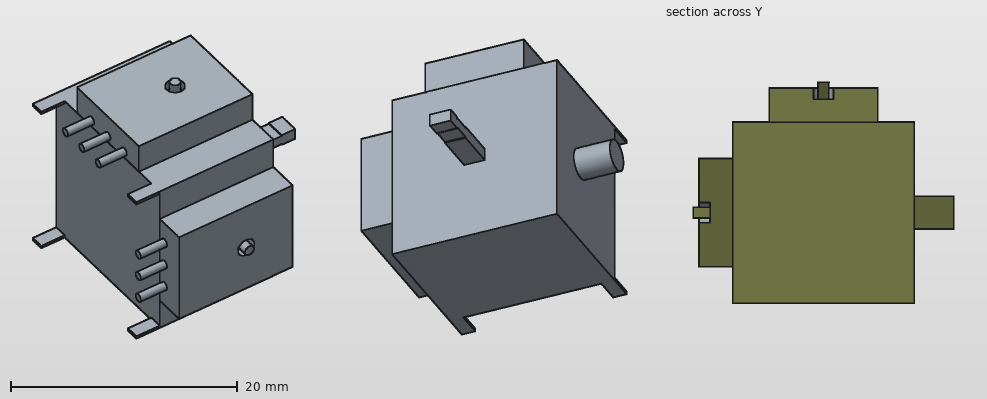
import cadquery as cq

BOX_SIDE = 16.0
BOX_DEPTH = 12.2
AXIS_Y = -5.0

TAB_WIDTH = 1.3
TAB_THICKNESS = 0.28
TAB_LENGTH = 2.5

SHAFT_DIAMETER = 2.9
SHAFT_LENGTH = 3.5

LEVER_WIDTH = 2.0
LEVER_THICKNESS = 1.15
LEVER_LENGTH = 7.2
RELIEF_THICKNESS = 0.97
RELIEF_LENGTH = 1.7
RELIEF_TIP = 1.45

BLOCK_LENGTH = 9.57
BLOCK_HEIGHT = 3.0
RECESS_DIAMETER = 1.75
RECESS_DEPTH = 1.0
ROTOR_DIAMETER = 1.0
ROTOR_RISE = 0.5

PIN_DIAMETER = 0.8
PIN_LENGTH = 2.8
PIN_PITCH = 2.53
PIN_HEIGHT = 0.74

HALF_SIDE = BOX_SIDE / 2
BLOCK_TOP = HALF_SIDE + BLOCK_HEIGHT


def box(x_min, x_max, y_min, y_max, z_min, z_max):
    """Axis-aligned box between the given limits."""
    size = (x_max - x_min, y_max - y_min, z_max - z_min)
    return cq.Workplane("XY").box(*size, centered=False).translate((x_min, y_min, z_min))


def make_housing():
    housing = box(-HALF_SIDE, HALF_SIDE, -BOX_DEPTH, 0, -HALF_SIDE, HALF_SIDE)
    tab_end = -BOX_DEPTH - TAB_LENGTH
    for x in (-HALF_SIDE, HALF_SIDE - TAB_WIDTH):
        for z in (-HALF_SIDE, HALF_SIDE - TAB_THICKNESS):
            housing = housing.union(box(x, x + TAB_WIDTH, tab_end, -BOX_DEPTH, z, z + TAB_THICKNESS))
    return housing


def make_shaft():
    start = cq.Workplane("YZ", origin=(-HALF_SIDE, AXIS_Y, 0))
    return start.circle(SHAFT_DIAMETER / 2).extrude(-SHAFT_LENGTH)


def make_lever():
    half_width = LEVER_WIDTH / 2
    half_thickness = LEVER_THICKNESS / 2
    lever = box(-half_width, half_width, 0, LEVER_LENGTH, -half_thickness, half_thickness)
    relief_end = LEVER_LENGTH - RELIEF_TIP
    relief_start = relief_end - RELIEF_LENGTH
    core = RELIEF_THICKNESS / 2
    for z_min, z_max in ((core, half_thickness), (-half_thickness, -core)):
        lever = lever.cut(box(-half_width, half_width, relief_start, relief_end, z_min, z_max))
    return lever


def make_block():
    """Block with its pins, standing on the top face of the housing."""
    half = BLOCK_LENGTH / 2
    block = box(-half, half, -BOX_DEPTH, 0, HALF_SIDE, BLOCK_TOP)
    recess_mouth = cq.Workplane("XY", origin=(0, AXIS_Y, BLOCK_TOP))
    recess = recess_mouth.circle(RECESS_DIAMETER / 2).extrude(-RECESS_DEPTH)
    pin_points = [(i * PIN_PITCH, 0) for i in (-1, 0, 1)]
    pins = (
        cq.Workplane("XZ", origin=(0, -BOX_DEPTH, HALF_SIDE + PIN_HEIGHT))
        .pushPoints(pin_points)
        .circle(PIN_DIAMETER / 2)
        .extrude(PIN_LENGTH)
    )
    return block.cut(recess).union(pins)


def make_rotor():
    """Rotor standing on the floor of the recess in the top block."""
    floor = BLOCK_TOP - RECESS_DEPTH
    start = cq.Workplane("XY", origin=(0, AXIS_Y, floor))
    return start.circle(ROTOR_DIAMETER / 2).extrude(RECESS_DEPTH + ROTOR_RISE)


housing = make_housing().solids()
shaft = make_shaft().solids()
lever = make_lever().solids()

blocks = []
rotors = []
for angle in (0, 90):
    blocks.append(make_block().rotate((0, 0, 0), (0, 1, 0), angle).solids().val())
    rotors.append(make_rotor().rotate((0, 0, 0), (0, 1, 0), angle).solids().val())

result = cq.Compound.makeCompound([housing.val(), shaft.val(), lever.val(), *blocks, *rotors])